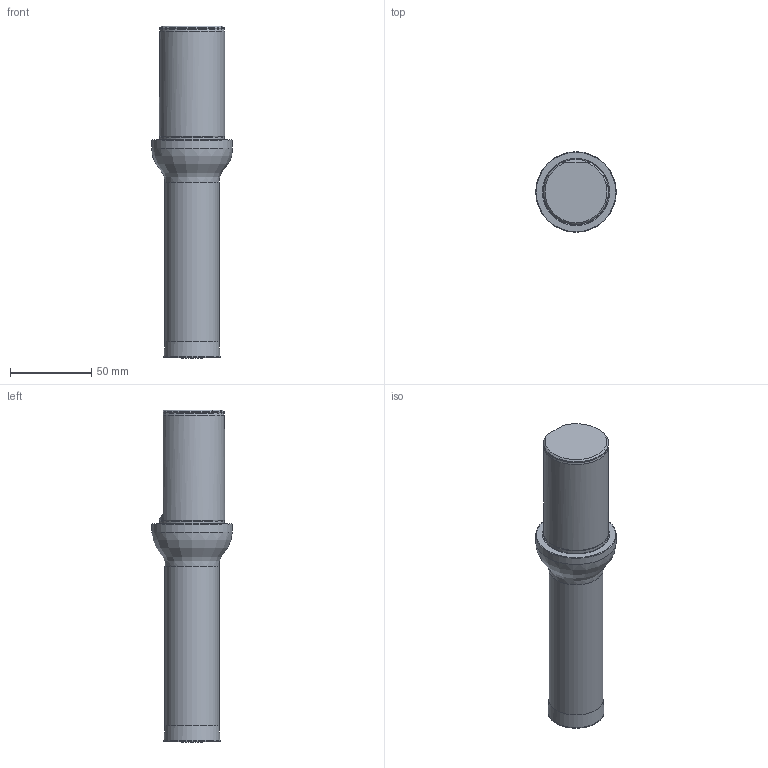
import cadquery as cq

total_length = 204.0
flange_top_z = 134.0
flange_height = 5.0
flange_chamfer = 0.3
flare_end_z = 108.0
head_top_z = 10.0
tip_height = 0.45
rim_width = 0.5

shank_radius = 39.99 / 2
relief_radius = 39.5 / 2
flange_radius = 49.5 / 2
body_radius = 33.3 / 2

end_chamfer_height = 1.0
end_chamfer_width = 0.95
end_land_width = 0.5
groove_entry_height = 0.5
groove_taper_height = 1.2

neck_height = 1.6
neck_taper_height = 0.6
undercut_radius = 20.6
undercut_depth = 0.3

flat_offset = 17.8
flat_start_z = 137.0
flat_slope_height = 3.5

bowl_upper_pull = 12.8
bowl_lower_pull = 9.2

head_radius = 34.45 / 2
tip_flat_radius = 6.5


def make_holder():
    """Shank, flange and long cylindrical body turned about Z, with a clamping flat."""
    flange_bottom_z = flange_top_z - flange_height
    neck_top_z = flange_top_z + neck_height
    land_top_z = total_length - end_chamfer_height
    land_bottom_z = land_top_z - end_land_width
    groove_deepest_z = land_bottom_z - groove_entry_height
    groove_bottom_z = groove_deepest_z - groove_taper_height
    holder = (
        cq.Workplane("XZ")
        .moveTo(0, head_top_z)
        .lineTo(body_radius, head_top_z)
        .lineTo(body_radius, flare_end_z)
        .bezier(
            [
                (body_radius, flare_end_z),
                (body_radius, flare_end_z + bowl_lower_pull),
                (flange_radius, flange_bottom_z - bowl_upper_pull),
                (flange_radius, flange_bottom_z),
            ]
        )
        .lineTo(flange_radius, flange_top_z - flange_chamfer)
        .lineTo(flange_radius - flange_chamfer, flange_top_z)
        .lineTo(undercut_radius, flange_top_z)
        .lineTo(relief_radius, flange_top_z - undercut_depth)
        .lineTo(relief_radius, neck_top_z)
        .lineTo(shank_radius, neck_top_z + neck_taper_height)
        .lineTo(shank_radius, groove_bottom_z)
        .lineTo(relief_radius, groove_deepest_z)
        .lineTo(shank_radius, land_bottom_z)
        .lineTo(shank_radius, land_top_z)
        .lineTo(shank_radius - end_chamfer_width, total_length)
        .lineTo(0, total_length)
        .close()
        .revolve(360, (0, 0, 0), (0, 1, 0))
    )
    return holder.cut(make_flat_cutter())


def make_flat_cutter():
    """Prism that removes the flat, ending in a slope above the flange."""
    return (
        cq.Workplane("YZ")
        .moveTo(flat_offset, total_length)
        .lineTo(flat_offset, flat_start_z + flat_slope_height)
        .lineTo(shank_radius, flat_start_z)
        .lineTo(flange_radius, flat_start_z)
        .lineTo(flange_radius, total_length)
        .close()
        .extrude(flange_radius, both=True)
    )


def make_cutting_head():
    """Head that flares from the body diameter to a narrow rim and ends in a shallow blunt cone."""
    rim_top_z = tip_height + rim_width
    return (
        cq.Workplane("XZ")
        .lineTo(tip_flat_radius, 0)
        .lineTo(head_radius, tip_height)
        .lineTo(head_radius, rim_top_z)
        .bezier(
            [
                (head_radius, rim_top_z),
                (body_radius, (rim_top_z + head_top_z) / 2),
                (body_radius, head_top_z),
            ]
        )
        .lineTo(0, head_top_z)
        .close()
        .revolve(360, (0, 0, 0), (0, 1, 0))
    )


holder = make_holder()
cutting_head = make_cutting_head()

result = cq.Compound.makeCompound([holder.val(), cutting_head.val()])